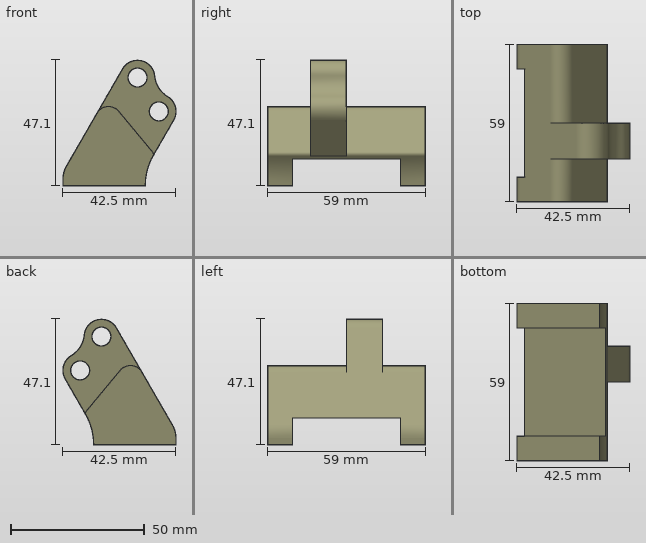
import cadquery as cq
import math

length = 59.0
base_width = 30.9
flank_angle = math.radians(60)
top_slope = math.radians(50.3)
apex_height = 29.75
crest_radius = 5.0
tip_radius = 1.5
heel_radius = 10.05
hollow_radius = 22.0

lug_thickness = 13.5
lug_far_y = 0.0
ear_radius = 6.5
hole_diameter = 7.0
upper_x, upper_z = 27.95, 40.6
lower_x, lower_z = 35.95, 27.9
saddle_radius = 10.05
root_clearance = 1.2

notch_length = 40.4
notch_height = 10.05

flank_slope = math.tan(flank_angle)
normal_x = ear_radius * math.sin(flank_angle)
normal_z = ear_radius * math.cos(flank_angle)
left_tangent = (upper_x - normal_x, upper_z + normal_z)
right_tangent = (lower_x + normal_x, lower_z - normal_z)
left_foot_z = left_tangent[1] - flank_slope * left_tangent[0]
right_foot_z = right_tangent[1] - flank_slope * (right_tangent[0] - base_width)


def extrude_profile(outline, near_y, depth):
    """Extrude a closed XZ outline from near_y towards +Y."""
    return outline.extrude(-depth).translate((0, near_y, 0))


def round_edge(solid, x, z, radius):
    """Fillet the full-length edge along Y that passes through (x, z)."""
    margin = 0.05
    edge = cq.selectors.BoxSelector(
        (x - margin, -length, z - margin), (x + margin, length, z + margin)
    )
    return solid.edges(edge).fillet(radius)


def make_body():
    crest_z = apex_height - crest_radius
    flank_offset = crest_radius / math.cos(flank_angle)
    crest_x = (crest_z - left_foot_z + flank_offset) / flank_slope
    slope = math.tan(top_slope)
    slope_start = crest_z + slope * crest_x + crest_radius / math.cos(top_slope)
    peak_x = (slope_start - left_foot_z) / (flank_slope + slope)
    peak_z = left_foot_z + flank_slope * peak_x
    right_start = right_foot_z - flank_slope * base_width
    tip_x = (slope_start - right_start) / (flank_slope + slope)
    tip_z = slope_start - slope * tip_x

    outline = cq.Workplane("XZ").polyline([
        (0, 0),
        (base_width, 0),
        (base_width, right_foot_z),
        (tip_x, tip_z),
        (peak_x, peak_z),
        (0, left_foot_z),
    ]).close()
    body = extrude_profile(outline, -length / 2, length)
    body = round_edge(body, 0, left_foot_z, heel_radius)
    body = round_edge(body, base_width, right_foot_z, hollow_radius)
    body = round_edge(body, peak_x, peak_z, crest_radius)
    return round_edge(body, tip_x, tip_z, tip_radius)


def make_lug():
    span_x = lower_x - upper_x
    span_z = lower_z - upper_z
    spacing = math.hypot(span_x, span_z)
    reach = ear_radius + saddle_radius
    rise = math.sqrt(reach**2 - (spacing / 2)**2)
    outward_x = -span_z / spacing
    outward_z = span_x / spacing
    saddle_x = (upper_x + lower_x) / 2 + rise * outward_x
    saddle_z = (upper_z + lower_z) / 2 + rise * outward_z

    share = ear_radius / reach
    upper_join = (upper_x + share * (saddle_x - upper_x), upper_z + share * (saddle_z - upper_z))
    lower_join = (lower_x + share * (saddle_x - lower_x), lower_z + share * (saddle_z - lower_z))
    saddle_low = (saddle_x - saddle_radius * outward_x, saddle_z - saddle_radius * outward_z)

    root_z = notch_height + root_clearance
    root_left_x = (root_z - left_foot_z) / flank_slope
    root_right_x = base_width + (root_z - right_foot_z) / flank_slope
    outline = (
        cq.Workplane("XZ")
        .moveTo(root_left_x, root_z)
        .lineTo(*left_tangent)
        .threePointArc((upper_x, upper_z + ear_radius), upper_join)
        .threePointArc(saddle_low, lower_join)
        .threePointArc((lower_x + ear_radius, lower_z), right_tangent)
        .lineTo(root_right_x, root_z)
        .close()
    )
    holes = (
        cq.Workplane("XZ")
        .pushPoints([(upper_x, upper_z), (lower_x, lower_z)])
        .circle(hole_diameter / 2)
    )
    near_y = lug_far_y - lug_thickness
    lug = extrude_profile(outline, near_y, lug_thickness)
    return lug.cut(extrude_profile(holes, near_y, lug_thickness))


def make_notch():
    notch_width = 2 * base_width
    return cq.Workplane("XY").box(
        notch_width, notch_length, notch_height, centered=(True, True, False)
    ).translate((base_width / 2, 0, 0))


result = make_body().union(make_lug()).cut(make_notch())